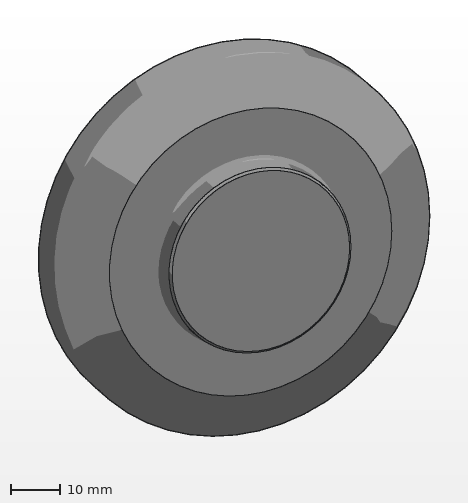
import cadquery as cq
import math

total_length = 23.0
boss_length = 5.0
cone_end_x = 17.5

disc_radius = 83 / 2
boss_radius = 50.0 / 2
hub_radius = 40.0 / 2
cone_end_radius = 31.05

rim_round = 1.0
hub_root_fillet = 1.0
hub_end_chamfer = 0.5

cone_angle = math.radians(66)
rim_round_start_x = 12.3
rim_center_radius = disc_radius - rim_round


def rim_point(turn):
    """Point on the rim round after turning by the given angle from the disc side."""
    x = rim_round_start_x + rim_round * math.sin(turn)
    radius = rim_center_radius + rim_round * math.cos(turn)
    return x, radius


def root_fillet_middle():
    """Midpoint of the concave quarter arc between the cone's flat end and the hub."""
    offset = hub_root_fillet * (1 - math.sqrt(0.5))
    return cone_end_x + offset, hub_radius + offset


profile = (
    cq.Workplane("XY")
    .moveTo(0, 0)
    .lineTo(0, boss_radius)
    .lineTo(boss_length, boss_radius)
    .lineTo(boss_length, disc_radius)
    .lineTo(rim_round_start_x, disc_radius)
    .threePointArc(rim_point(cone_angle / 2), rim_point(cone_angle))
    .lineTo(cone_end_x, cone_end_radius)
    .lineTo(cone_end_x, hub_radius + hub_root_fillet)
    .threePointArc(root_fillet_middle(), (cone_end_x + hub_root_fillet, hub_radius))
    .lineTo(total_length - hub_end_chamfer, hub_radius)
    .lineTo(total_length, hub_radius - hub_end_chamfer)
    .lineTo(total_length, 0)
    .close()
)

result = profile.revolve(360, (0, 0, 0), (1, 0, 0))